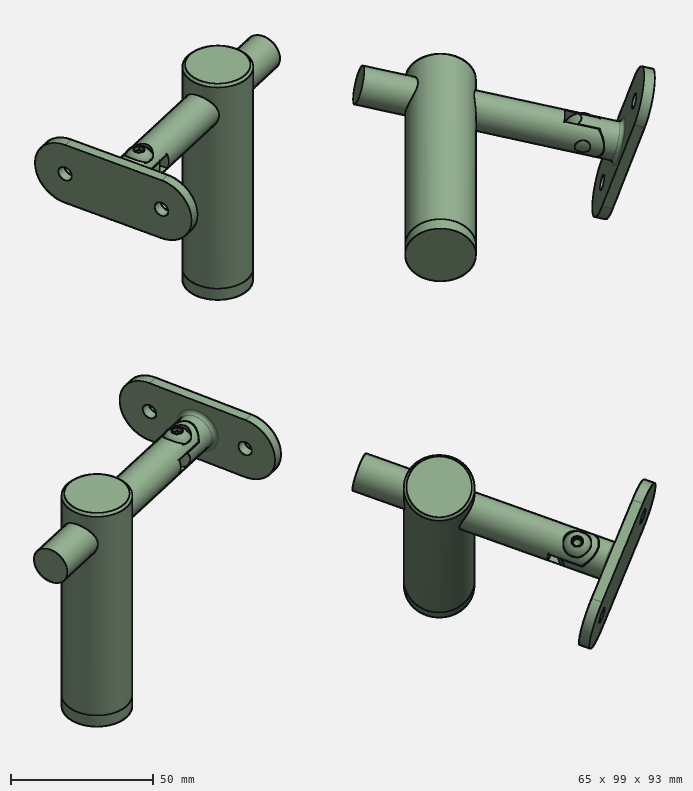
import cadquery as cq
import math

POST_RADIUS = 12.5
POST_TOP = 93.0
POST_CHAMFER = 1.0
CAP_HEIGHT = 4.95

BAR_RADIUS = 7.0
BAR_BACK = 30.0
OVERALL_LENGTH = 99.0
BAR_DROP = 13.0
BAR_Z = POST_TOP - BAR_DROP

PIVOT_Y = -52.0
FORK_RADIUS = 7.5
SLOT_HEIGHT = 6.0
SLOT_DEPTH = 8.5
TONGUE_HEIGHT = 5.5
TONGUE_RADIUS = 7.7
TONGUE_SETBACK = 0.8
SHOULDER_RADIUS = 7.7

PLATE_WIDTH = 65.0
PLATE_HEIGHT = 25.0
PLATE_THICKNESS = 4.0
PLATE_FRONT = BAR_BACK - OVERALL_LENGTH
PLATE_HOLE_DIAMETER = 5.5
PLATE_HOLE_SPACING = 40.0
NECK_FILLET = 1.5

SHANK_DIAMETER = 5.5
HEAD_DIAMETER = 10.0
HEAD_SEAT = 5.1
HEAD_HEIGHT = 2.8
HEAD_FLAT_DIAMETER = 4.2
SOCKET_ACROSS_FLATS = 3.3
SOCKET_DEPTH = 1.5
SOCKET_POINT_DIAMETER = 3.0
SOCKET_POINT_DEPTH = 0.9


def rod_along_y(y_start, y_end):
    """Round bar stock on the bar's axis between two Y positions."""
    plane = cq.Plane(origin=(0, y_start, BAR_Z), xDir=(1, 0, 0), normal=(0, 1, 0))
    return cq.Workplane(plane).circle(BAR_RADIUS).extrude(y_end - y_start)


def upright_cylinder(radius, z_low, z_high, axis_y=PIVOT_Y):
    """Upright cylinder, by default on the hinge axis; heights are measured from the bar's axis."""
    base = cq.Workplane("XY", origin=(0, axis_y, BAR_Z + z_low))
    return base.circle(radius).extrude(z_high - z_low)


def make_post():
    post = cq.Workplane("XY", origin=(0, 0, CAP_HEIGHT)).circle(POST_RADIUS).extrude(POST_TOP - CAP_HEIGHT)
    post = post.faces(">Z").chamfer(POST_CHAMFER)
    return post.cut(rod_along_y(-POST_RADIUS, POST_RADIUS))


def make_cap():
    return cq.Workplane("XY").circle(POST_RADIUS).extrude(CAP_HEIGHT)


def make_bar():
    bar = rod_along_y(PIVOT_Y, BAR_BACK)
    nose = rod_along_y(PIVOT_Y - FORK_RADIUS, PIVOT_Y)
    bar = bar.union(nose.intersect(upright_cylinder(FORK_RADIUS, -BAR_RADIUS, BAR_RADIUS)))

    slot_centre = (0, PIVOT_Y + (SLOT_DEPTH - FORK_RADIUS) / 2, BAR_Z)
    slot = cq.Workplane("XY", origin=slot_centre).box(2 * BAR_RADIUS, SLOT_DEPTH + FORK_RADIUS, SLOT_HEIGHT)

    screw_hole = upright_cylinder(SHANK_DIAMETER / 2, -BAR_RADIUS, BAR_RADIUS)
    head_recess = upright_cylinder(HEAD_DIAMETER / 2, HEAD_SEAT, BAR_RADIUS)
    return bar.cut(slot).cut(screw_hole).cut(head_recess)


def make_foot():
    plate_plane = cq.Plane(origin=(0, PLATE_FRONT, BAR_Z), xDir=(1, 0, 0), normal=(0, -1, 0))
    plate = cq.Workplane(plate_plane).slot2D(PLATE_WIDTH, PLATE_HEIGHT).extrude(-PLATE_THICKNESS)

    plate_back = PLATE_FRONT + PLATE_THICKNESS
    foot = plate.union(rod_along_y(plate_back, PIVOT_Y - TONGUE_SETBACK))
    neck_root = cq.selectors.NearestToPointSelector((0, plate_back, BAR_Z))
    foot = foot.edges(neck_root).fillet(NECK_FILLET)

    half = TONGUE_HEIGHT / 2
    foot = foot.cut(upright_cylinder(SHOULDER_RADIUS, half, BAR_RADIUS))
    foot = foot.cut(upright_cylinder(SHOULDER_RADIUS, -BAR_RADIUS, -half))

    tip_axis_y = PIVOT_Y - TONGUE_SETBACK
    tip_rod = rod_along_y(tip_axis_y, tip_axis_y + TONGUE_RADIUS)
    foot = foot.union(tip_rod.intersect(upright_cylinder(TONGUE_RADIUS, -half, half, tip_axis_y)))
    foot = foot.cut(upright_cylinder(SHANK_DIAMETER / 2, -half, half))
    holes = (
        cq.Workplane(plate_plane)
        .pushPoints([(-PLATE_HOLE_SPACING / 2, 0), (PLATE_HOLE_SPACING / 2, 0)])
        .circle(PLATE_HOLE_DIAMETER / 2)
        .extrude(-PLATE_THICKNESS)
    )
    return foot.cut(holes)


def make_screw_head():
    """Domed head; heights are measured from the bar's axis."""
    head_top = HEAD_SEAT + HEAD_HEIGHT
    rim = HEAD_DIAMETER / 2
    flat = HEAD_FLAT_DIAMETER / 2
    centre = (head_top**2 + flat**2 - HEAD_SEAT**2 - rim**2) / (2 * HEAD_HEIGHT)
    dome_radius = math.hypot(rim, HEAD_SEAT - centre)
    middle_z = (HEAD_SEAT + head_top) / 2
    middle = (math.sqrt(dome_radius**2 - (middle_z - centre) ** 2), middle_z)
    head = (
        cq.Workplane("XZ")
        .moveTo(0, HEAD_SEAT)
        .lineTo(rim, HEAD_SEAT)
        .threePointArc(middle, (flat, head_top))
        .lineTo(0, head_top)
        .close()
        .revolve(360, (0, 0, 0), (0, 1, 0))
    )
    return head.translate((0, PIVOT_Y, BAR_Z))


def make_screw_socket():
    """Hexagon socket with a drill point at its bottom."""
    floor_z = BAR_Z + HEAD_SEAT + HEAD_HEIGHT - SOCKET_DEPTH
    across_corners = SOCKET_ACROSS_FLATS / math.cos(math.pi / 6)
    floor = cq.Workplane("XY", origin=(0, PIVOT_Y, floor_z))
    hexagon = floor.polygon(6, across_corners).extrude(SOCKET_DEPTH)
    point_tip = cq.Vector(0, PIVOT_Y, floor_z - SOCKET_POINT_DEPTH)
    point = cq.Solid.makeCone(0, SOCKET_POINT_DIAMETER / 2, SOCKET_POINT_DEPTH, point_tip)
    return hexagon.union(cq.Workplane(point))


def make_screw():
    shank_radius = SHANK_DIAMETER / 2
    shank = upright_cylinder(shank_radius, -BAR_RADIUS, HEAD_SEAT)
    shank = shank.intersect(rod_along_y(PIVOT_Y - shank_radius, PIVOT_Y + shank_radius))
    return make_screw_head().union(shank).cut(make_screw_socket())


post = make_post()
cap = make_cap()
bar = make_bar()
foot = make_foot()
screw = make_screw()

result = cq.Compound.makeCompound([post.val(), cap.val(), bar.val(), foot.val(), screw.val()])